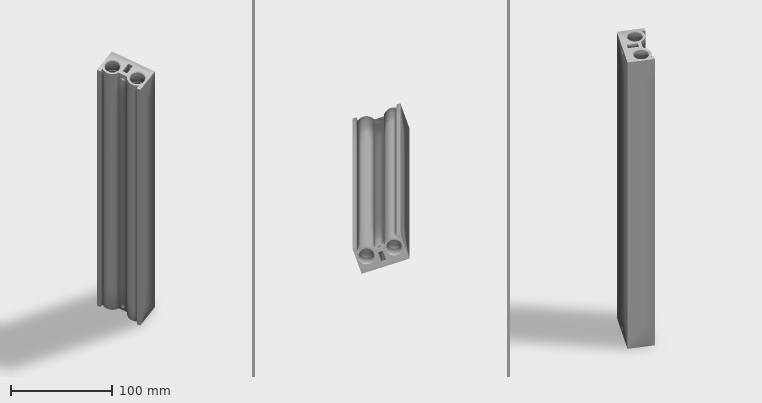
import cadquery as cq

length = 362.0
width = 50.0
depth = 28.0

flange_thickness = 4.0
bore_spacing = 29.0
bore_from_back = 16.0
bore_diameter = 12.5
boss_diameter = 20.5
web_depth = 20.0

counterbore_diameter = 15.0
counterbore_depth = 14.5
mouth_diameter = 16.5
mouth_depth = 0.9

channel_width = 5.5
channel_depth = 11.2
channel_from_back = 5.0

mount_hole_diameter = 4.7
mount_hole_from_end = 6.0

back_y = depth / 2
bore_y = back_y - bore_from_back
bore_centers = [(-bore_spacing / 2, bore_y), (bore_spacing / 2, bore_y)]


def block(x_size, y_size, x_center, y_top):
    """Full-length bar whose back face lies at y_top."""
    return cq.Workplane("XY").box(x_size, y_size, length).translate((x_center, y_top - y_size / 2, 0))


def cylinders(radius, z_start, height):
    """A pair of upright cylinders on the bore axes."""
    return cq.Workplane("XY", origin=(0, 0, z_start)).pushPoints(bore_centers).circle(radius).extrude(height)


def make_body():
    """Back plate, side flanges and tubular bosses."""
    body = block(width, bore_from_back, 0, back_y)
    body = body.union(block(bore_spacing, web_depth, 0, back_y))
    for side in (-1, 1):
        body = body.union(block(flange_thickness, depth, side * (width - flange_thickness) / 2, back_y))
    return body.union(cylinders(boss_diameter / 2, -length / 2, length))


def mouth_cones(end):
    """Pair of chamfer cones narrowing inward from the top (end = 1) or bottom (end = -1) face."""
    cones = cq.Workplane("XY")
    inward = cq.Vector(0, 0, -end)
    for x, y in bore_centers:
        face_point = cq.Vector(x, y, end * length / 2)
        cone = cq.Solid.makeCone(
            mouth_diameter / 2, counterbore_diameter / 2, mouth_depth, face_point, inward
        )
        cones = cones.add(cone)
    return cones.combine()


def cut_bores(body):
    """Through bores, counterbored and chamfered at both ends."""
    body = body.cut(cylinders(bore_diameter / 2, -length / 2, length))
    for z_start in (-length / 2, length / 2 - counterbore_depth):
        body = body.cut(cylinders(counterbore_diameter / 2, z_start, counterbore_depth))
    for end in (-1, 1):
        body = body.cut(mouth_cones(end))
    return body


def cut_mount_holes(body):
    """Round holes along Y near both ends."""
    hole_z = length / 2 - mount_hole_from_end
    holes = (
        cq.Workplane("XZ", origin=(0, back_y, 0))
        .pushPoints([(0, -hole_z), (0, hole_z)])
        .circle(mount_hole_diameter / 2)
        .extrude(depth)
    )
    return body.cut(holes)


channel = block(channel_width, channel_depth, 0, back_y - channel_from_back)

result = cut_mount_holes(cut_bores(make_body()).cut(channel))